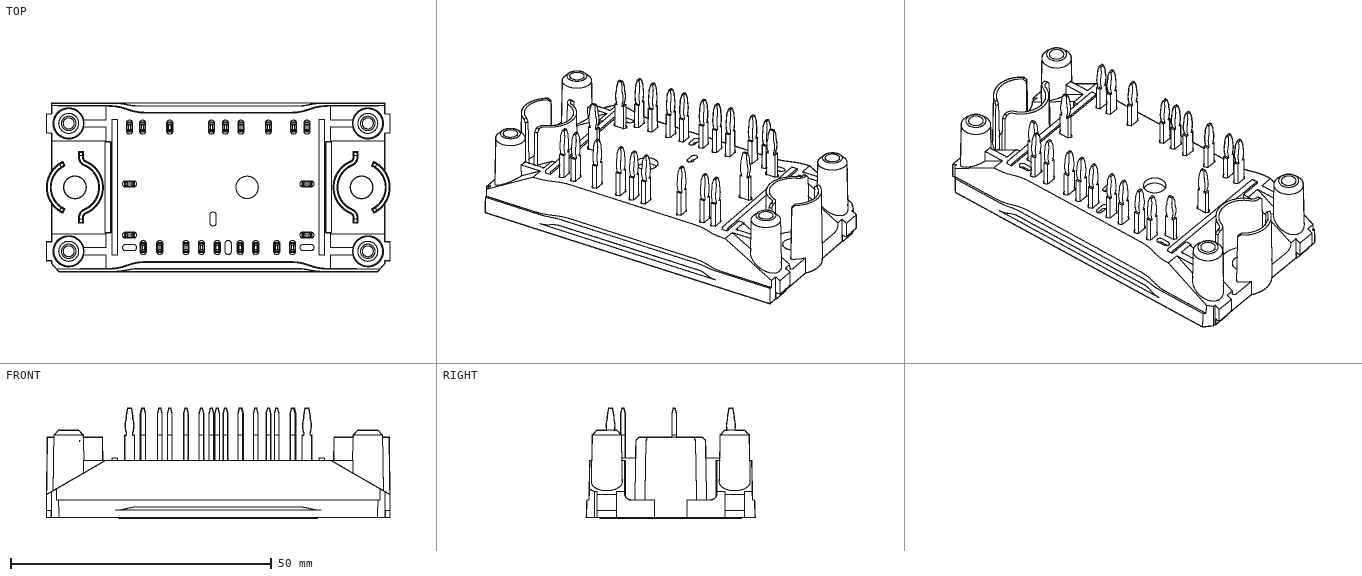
import cadquery as cq
import math


length = 66.0
body_length = 64.0
body_width = 32.5
base_plate = (38.0, 27.2)
base_plate_drop = 0.2
skirt_top = 3.6
skirt_draft = 2.0
deck_z = 11.2
wall_foot_half_width = 15.7
wall_draft = 1.0
deck_half_length = 21.6
slope_angle = 30.0
corner_chamfer = (1.45, 1.6)
above_all = 26.4

deck_recess = (13.9, 21.0)
deck_recess_depth = 1.3
skirt_recess = (15.3, 19.75)
skirt_recess_depth = 0.5
skirt_recess_floor = 1.65
skirt_recess_floor_rise = 0.6

tab_y = 12.3
tab_width = 3.7
tab_bottom = 1.6
tab_foot_step = 0.1
post_x = 28.7
post_y = tab_y
post_foot_radius = 3.05
post_shoulder_radius = 2.85
post_top_radius = 1.9
post_shoulder_z = 16.05
post_top_z = 17.0
post_hole_top_radius = 1.4
post_hole_bottom_radius = 1.05
post_hole_depth = 6.6
rib_width = 1.4

screw_x = 27.5
screw_hole_diameter = 4.3
boss_radius = length / 2 - screw_x
notch_half_width = 8.9
deck_wall_half_width = 8.7
notch_fillet = 1.3
slot_x = (20.65, 21.7)

collar_top = 15.65
collar_wall = 0.9
collar_draft = 0.8
collar_radius = boss_radius - collar_wall / 2
outer_collar_end_angle = 115.0
flare_x = 1.2
flare_start_y = 5.75
flare_end_y = 6.85
collar_corner_chamfer = 0.6

bar_x = 19.85
bar_size = (1.1, 26.0, 0.45)
bar_end_radius = 0.3
dimple_x = 5.55
dimple_diameter = 4.3
dimple_depth = 1.3

pin_top = 21.25
pin_shoulder_z = 16.05
pin_neck_z = 16.4
pin_bulge_z = 17.8
pin_nose_z = 19.2
pin_taper_z = 19.7
pin_tip_chamfer = (1.05, 0.25)
pin_width = 1.9
pin_thickness = 0.9
socket_length = 2.7
socket_width = 1.2
socket_depth = 1.0
row_y = 11.55
side_x = 17.0
back_row_x = (-17.0, -14.5, -9.3, -1.3, 1.4, 4.35, 9.65, 14.45, 17.0)
front_row_x = (-14.4, -11.2, -6.2, -3.25, -0.2, 4.2, 7.2, 11.2, 14.25)
side_pin_y = (0.65, -9.2)

pins = [(x, row_y, 90) for x in back_row_x]
pins += [(x, -row_y, 90) for x in front_row_x]
pins += [(side * side_x, y, 0) for side in (-1, 1) for y in side_pin_y]
empty_sockets = [(1.9, -row_y, 90), (-1.0, -6.1, 90), (-side_x, -row_y, 0), (side_x, -row_y, 0)]


def box(x_range, y_range, z_range):
    """Box between two limits on each axis."""
    size = [high - low for low, high in (x_range, y_range, z_range)]
    corner = (x_range[0], y_range[0], z_range[0])
    return cq.Workplane("XY").box(*size, centered=False).translate(corner)


def both_ends(shape):
    """The shape together with its mirror image at the other X end."""
    return shape.union(shape.mirror("YZ"))


def four_corners(shape):
    """The shape repeated by mirroring across both vertical mid-planes."""
    half = both_ends(shape)
    return half.union(half.mirror("XZ"))


def wavy_slab(bottom, top, half_width, recess, depth, draft):
    """Drafted slab whose long sides are recessed between two S-shaped run-outs."""
    inner_x, outer_x = recess
    half_dx = (outer_x - inner_x) / 2
    half_dy = depth / 2
    end_x = length
    return (
        cq.Workplane("XY", origin=(0, 0, bottom))
        .moveTo(-inner_x, half_width - depth)
        .lineTo(inner_x, half_width - depth)
        .tangentArcPoint((half_dx, half_dy))
        .tangentArcPoint((half_dx, half_dy))
        .lineTo(end_x, half_width)
        .lineTo(end_x, -half_width)
        .lineTo(outer_x, -half_width)
        .tangentArcPoint((-half_dx, half_dy))
        .tangentArcPoint((-half_dx, half_dy))
        .lineTo(-inner_x, depth - half_width)
        .tangentArcPoint((-half_dx, -half_dy))
        .tangentArcPoint((-half_dx, -half_dy))
        .lineTo(-end_x, -half_width)
        .lineTo(-end_x, half_width)
        .lineTo(-outer_x, half_width)
        .tangentArcPoint((half_dx, -half_dy))
        .tangentArcPoint((half_dx, -half_dy))
        .close()
        .extrude(top - bottom, taper=draft)
    )


def skirt():
    """Plain drafted foot, then a recessed band whose floor slopes up inwards."""
    foot_height = skirt_recess_floor - base_plate_drop
    band_half_width = body_width / 2 - foot_height * math.tan(math.radians(skirt_draft))
    foot = (
        cq.Workplane("XY", origin=(0, 0, base_plate_drop)).rect(2 * length, body_width)
        .extrude(foot_height, taper=skirt_draft)
    )
    band = wavy_slab(
        skirt_recess_floor, skirt_top, band_half_width, skirt_recess, skirt_recess_depth, skirt_draft
    )
    recess_y = band_half_width - skirt_recess_depth
    floor_ridge = skirt_recess_floor + skirt_recess_floor_rise
    sloping_floor = (
        cq.Workplane("YZ")
        .polyline([
            (0, skirt_recess_floor),
            (band_half_width, skirt_recess_floor),
            (recess_y, floor_ridge),
            (0, floor_ridge),
        ])
        .close()
        .extrude(skirt_recess[1], both=True)
    )
    return foot.union(band).union(sloping_floor).union(sloping_floor.mirror("XZ"))


def housing_block():
    """Skirt and upper body, trimmed to length with two chamfered front corners."""
    upper = wavy_slab(
        skirt_top, deck_z, wall_foot_half_width, deck_recess, deck_recess_depth, wall_draft
    )
    x, y = body_length / 2, body_width / 2
    dx, dy = corner_chamfer
    plan = (
        cq.Workplane("XY")
        .polyline([(-x, y), (x, y), (x, dy - y), (x - dx, -y), (dx - x, -y), (-x, dy - y)])
        .close()
        .extrude(deck_z)
    )
    return skirt().union(upper).intersect(plan)


def corner_tabs():
    """End tabs that stop short of the bottom, each over a slightly proud foot."""
    y_range = (tab_y - tab_width / 2, tab_y + tab_width / 2)
    tab = box((post_x, length / 2), y_range, (tab_bottom, deck_z))
    foot = box((post_x, body_length / 2 + tab_foot_step), y_range, (base_plate_drop, tab_bottom))
    return four_corners(tab.union(foot))


def end_slopes():
    """Material removed above the sloping corner blocks."""
    run = length
    drop = run * math.tan(math.radians(slope_angle))
    top = (deck_half_length, deck_z)
    wedge = (
        cq.Workplane("XZ").polyline([top, (top[0] + run, deck_z), (top[0] + run, deck_z - drop)]).close()
        .extrude(body_width, both=True)
    )
    return both_ends(wedge)


def screw_pad_notches():
    """Open notches down to the screw pads, with a slot through the floor."""
    notch = box((deck_half_length, length), (-notch_half_width, notch_half_width), (skirt_top, above_all))
    notch = notch.edges("|X and <Z").fillet(notch_fillet)
    deck_wall_y = (-deck_wall_half_width, deck_wall_half_width)
    deck_wall_x = bar_x + bar_size[0] / 2
    deck_wall = box((deck_wall_x, slot_x[1]), deck_wall_y, (skirt_top, above_all))
    slot = box(slot_x, deck_wall_y, (0, above_all))
    return both_ends(notch.union(deck_wall).union(slot))


def post():
    """Tapered corner post with a conical top and a blind tapered hole."""
    hole_bottom = post_top_z - post_hole_depth
    return (
        cq.Workplane("XZ")
        .polyline([
            (0, skirt_top),
            (post_foot_radius, skirt_top),
            (post_shoulder_radius, post_shoulder_z),
            (post_top_radius, post_top_z),
            (post_hole_top_radius, post_top_z),
            (post_hole_bottom_radius, hole_bottom),
            (0, hole_bottom),
        ])
        .close()
        .revolve(360, (0, 0, 0), (0, 1, 0))
        .translate((post_x, post_y, 0))
    )


def post_rib():
    """Rib at deck level joining a post to the deck."""
    rib_end = post_x - (post_hole_top_radius + post_shoulder_radius) / 2
    y_range = (post_y - rib_width / 2, post_y + rib_width / 2)
    return box((deck_half_length, rib_end), y_range, (skirt_top, deck_z))


def polar(radius, degrees):
    angle = math.radians(degrees)
    return radius * math.cos(angle), radius * math.sin(angle)


def outer_collar():
    """Arc wall on the outboard side, built around the screw axis (outboard is -X)."""
    outer = collar_radius + collar_wall / 2
    inner = collar_radius - collar_wall / 2
    start, end = outer_collar_end_angle, 360 - outer_collar_end_angle
    wall = (
        cq.Workplane("XY", origin=(0, 0, skirt_top))
        .moveTo(*polar(outer, start))
        .threePointArc((-outer, 0), polar(outer, end))
        .lineTo(*polar(inner, end))
        .threePointArc((-inner, 0), polar(inner, start))
        .close()
        .extrude(collar_top - skirt_top, taper=collar_draft)
    )
    return wall.faces(">Z").edges("%LINE").chamfer(collar_corner_chamfer)


def inner_collar():
    """Arc wall on the inboard side, flaring into straight ends parallel to Y."""
    flare_radius = (flare_x**2 + flare_start_y**2 - collar_radius**2) / (2 * (collar_radius - flare_x))
    flare_center = (flare_x + flare_radius, flare_start_y)
    join_angle = math.degrees(math.atan2(flare_center[1], flare_center[0]))
    flare_mid_angle = (180 + (180 + join_angle)) / 2

    def edge(offset):
        """Points of one wall face from the straight end to the main arc."""
        radius = flare_radius - offset
        dx, dy = polar(radius, flare_mid_angle)
        straight_x = flare_x + offset
        return (
            (straight_x, flare_end_y),
            (straight_x, flare_start_y),
            (flare_center[0] + dx, flare_center[1] + dy),
            polar(collar_radius + offset, join_angle),
        )

    def below(point):
        return point[0], -point[1]

    half = collar_wall / 2
    out_end, out_start, out_mid, out_join = edge(half)
    in_end, in_start, in_mid, in_join = edge(-half)
    wall = (
        cq.Workplane("XY", origin=(0, 0, skirt_top))
        .moveTo(*out_end)
        .lineTo(*out_start)
        .threePointArc(out_mid, out_join)
        .threePointArc((collar_radius + half, 0), below(out_join))
        .threePointArc(below(out_mid), below(out_start))
        .lineTo(*below(out_end))
        .lineTo(*below(in_end))
        .lineTo(*below(in_start))
        .threePointArc(below(in_mid), below(in_join))
        .threePointArc((collar_radius - half, 0), in_join)
        .threePointArc(in_mid, in_start)
        .lineTo(*in_end)
        .close()
        .extrude(collar_top - skirt_top, taper=collar_draft)
    )
    return wall.faces(">Z").edges("|X").chamfer(collar_corner_chamfer)


def screw_bosses():
    """Round boss and split collar at each screw."""
    boss = cq.Workplane("XY", origin=(0, 0, base_plate_drop)).circle(boss_radius)
    boss = boss.extrude(skirt_top - base_plate_drop)
    return both_ends(boss.union(outer_collar()).union(inner_collar()).translate((-screw_x, 0, 0)))


def screw_holes():
    hole = cq.Workplane("XY").circle(screw_hole_diameter / 2).extrude(skirt_top)
    return both_ends(hole.translate((screw_x, 0, 0)))


def deck_bar():
    width, span, height = bar_size
    bar = box((bar_x - width / 2, bar_x + width / 2), (-span / 2, span / 2), (deck_z, deck_z + height))
    return both_ends(bar.edges("|X and >Z").fillet(bar_end_radius))


def sockets():
    """Round-ended pockets for every contact, used or empty."""
    cutter = cq.Workplane("XY")
    for x, y, angle in pins + empty_sockets:
        pocket = (
            cq.Workplane("XY", origin=(x, y, deck_z)).slot2D(socket_length, socket_width, angle)
            .extrude(-socket_depth)
        )
        cutter = cutter.add(pocket)
    return cutter.combine()


def contact_pin():
    """Flat contact along X: shoulder, neck, bulge, nose and a tip tapered both ways."""
    foot = deck_z - 2 * socket_depth
    half = pin_width / 2
    neck = 0.6
    bulge = 0.85
    nose = 0.65
    tip = 0.4
    face = (
        cq.Workplane("XZ")
        .moveTo(half, foot)
        .lineTo(half, pin_shoulder_z)
        .lineTo(neck, pin_shoulder_z)
        .lineTo(neck, pin_neck_z)
        .threePointArc((bulge, pin_bulge_z), (nose, pin_nose_z))
        .lineTo(nose, pin_taper_z)
        .lineTo(tip, pin_top)
        .lineTo(-tip, pin_top)
        .lineTo(-nose, pin_taper_z)
        .lineTo(-nose, pin_nose_z)
        .threePointArc((-bulge, pin_bulge_z), (-neck, pin_neck_z))
        .lineTo(-neck, pin_shoulder_z)
        .lineTo(-half, pin_shoulder_z)
        .lineTo(-half, foot)
        .close()
        .extrude(pin_thickness / 2, both=True)
    )
    return face.edges("|X and >Z").chamfer(*pin_tip_chamfer)


def place_pins():
    pin = contact_pin()
    placed = cq.Workplane("XY")
    for x, y, angle in pins:
        placed = placed.add(pin.rotate((0, 0, 0), (0, 0, 1), angle).translate((x, y, 0)))
    return placed.combine()


dimple = (
    cq.Workplane("XY", origin=(dimple_x, 0, deck_z)).circle(dimple_diameter / 2)
    .extrude(-dimple_depth)
)
plate = cq.Workplane("XY").rect(*base_plate).extrude(skirt_top)

housing = housing_block().union(corner_tabs()).cut(end_slopes())
housing = housing.union(four_corners(post_rib())).cut(screw_pad_notches())
housing = housing.union(four_corners(post()))
housing = housing.union(screw_bosses()).cut(screw_holes())
housing = housing.union(plate).union(deck_bar()).cut(dimple).cut(sockets())
result = housing.union(place_pins()).clean()